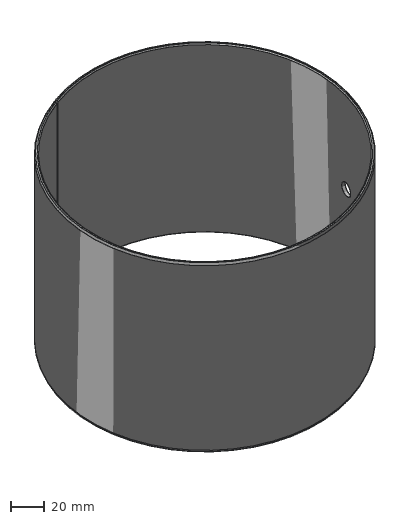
import cadquery as cq
import math

outer_diameter = 205.0
wall = 2.5
height = 150.0

outer_bevel_height = 1.8
outer_bevel_angle = 20.0
inner_chamfer = 0.8

gap_angle = 1.0
gap_start_angle = 180.0

hole_diameter = 10.0
hole_angle = 59.0

outer_radius = outer_diameter / 2
inner_radius = outer_radius - wall
half_height = height / 2
outer_bevel_depth = outer_bevel_height * math.tan(math.radians(outer_bevel_angle))


def wall_section():
    """Radial cross-section of the wall with all four rim edges bevelled."""
    upper_half = [
        (outer_radius, half_height - outer_bevel_height),
        (outer_radius - outer_bevel_depth, half_height),
        (inner_radius + inner_chamfer, half_height),
        (inner_radius, half_height - inner_chamfer),
    ]
    lower_half = [(radius, -z) for radius, z in reversed(upper_half)]
    return cq.Workplane("XZ").polyline(upper_half + lower_half).close()


def split_sleeve():
    """Wall section swept around Z, stopping short of a full turn to leave the gap."""
    sleeve = wall_section().revolve(360 - gap_angle, (0, 0, 0), (0, 1, 0))
    return sleeve.rotate((0, 0, 0), (0, 0, 1), gap_start_angle)


def radial_hole():
    """Cylinder running outward from the axis through one side of the wall."""
    cylinder = cq.Workplane("YZ").circle(hole_diameter / 2).extrude(outer_diameter)
    return cylinder.rotate((0, 0, 0), (0, 0, 1), hole_angle)


result = split_sleeve().cut(radial_hole())